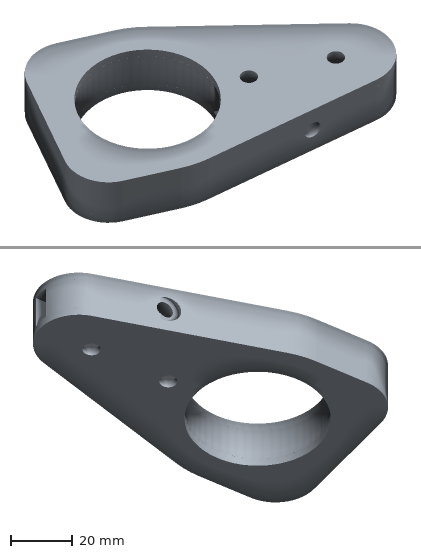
import cadquery as cq
import math

LENGTH = 120.0
HEIGHT = 18.0
BOSS_RADIUS = 35.0
NOSE_RADIUS = 15.0
CORNER_RADIUS = 15.0
BACK_Y = -BOSS_RADIUS
NOSE_Y = BACK_Y + LENGTH - NOSE_RADIUS
TAPER = math.asin((BOSS_RADIUS - NOSE_RADIUS) / NOSE_Y)

PLATE_THICKNESS = 3.0
CORE_THICKNESS = HEIGHT - 2 * PLATE_THICKNESS

BORE_DIAMETER = 48.0
HOLE_DIAMETER = 6.0
HOLE_SPACING = 30.0
NEAR_HOLE_Y = 34.9
FAR_HOLE_Y = NEAR_HOLE_Y + HOLE_SPACING

SLIT_WIDTH = HOLE_DIAMETER
SCREW_DIAMETER = 6.0
SCREW_Y = (NEAR_HOLE_Y + FAR_HOLE_Y) / 2
HEAD_DIAMETER = 10.0
HEAD_SEAT_X = -21.1


def flank_point(radius, center_y):
    """Point where the right flank is tangent to a circle centred on the Y axis."""
    return radius * math.cos(TAPER), center_y + radius * math.sin(TAPER)


def layer(bottom_z, thickness):
    """Drop-shaped slab with the bore and the two vertical holes."""
    boss_x, boss_y = flank_point(BOSS_RADIUS, 0)
    nose_x, nose_y = flank_point(NOSE_RADIUS, NOSE_Y)
    boss_mid_x = BOSS_RADIUS * math.cos(TAPER / 2)
    boss_mid_y = BOSS_RADIUS * math.sin(TAPER / 2)
    slab = (
        cq.Workplane("XY", origin=(0, 0, bottom_z))
        .moveTo(-BOSS_RADIUS, BACK_Y)
        .lineTo(BOSS_RADIUS, BACK_Y)
        .lineTo(BOSS_RADIUS, 0)
        .threePointArc((boss_mid_x, boss_mid_y), (boss_x, boss_y))
        .lineTo(nose_x, nose_y)
        .threePointArc((0, NOSE_Y + NOSE_RADIUS), (-nose_x, nose_y))
        .lineTo(-boss_x, boss_y)
        .threePointArc((-boss_mid_x, boss_mid_y), (-BOSS_RADIUS, 0))
        .close()
        .extrude(thickness)
    )
    slab = slab.edges("|Z").edges("<Y").fillet(CORNER_RADIUS)
    holes = (
        cq.Workplane("XY", origin=(0, 0, bottom_z))
        .pushPoints([(0, NEAR_HOLE_Y), (0, FAR_HOLE_Y)])
        .circle(HOLE_DIAMETER / 2)
        .extrude(thickness)
    )
    bore = cq.Workplane("XY", origin=(0, 0, bottom_z)).circle(BORE_DIAMETER / 2).extrude(thickness)
    return slab.cut(bore).cut(holes)


def clamp_slit():
    """Slit from the bore through both vertical holes and out of the nose."""
    nose_tip_y = NOSE_Y + NOSE_RADIUS
    return (
        cq.Workplane("XY", origin=(0, 0, PLATE_THICKNESS))
        .center(0, nose_tip_y / 2)
        .rect(SLIT_WIDTH, nose_tip_y)
        .extrude(CORE_THICKNESS)
    )


def cross_screw_hole():
    """Hole along X through both flanks, counterbored for the screw head on the -X side."""
    start = cq.Workplane("YZ", origin=(-BOSS_RADIUS, SCREW_Y, HEIGHT / 2))
    shank = start.circle(SCREW_DIAMETER / 2).extrude(2 * BOSS_RADIUS)
    head = start.circle(HEAD_DIAMETER / 2).extrude(HEAD_SEAT_X + BOSS_RADIUS)
    return shank.union(head)


def clamp_core():
    """Middle layer, split by the slit and crossed by the clamping screw."""
    return layer(PLATE_THICKNESS, CORE_THICKNESS).cut(clamp_slit()).cut(cross_screw_hole())


core = clamp_core()
cover_plates = [layer(z, PLATE_THICKNESS) for z in (0, HEIGHT - PLATE_THICKNESS)]

result = cq.Compound.makeCompound([core.val(), *[plate.val() for plate in cover_plates]])